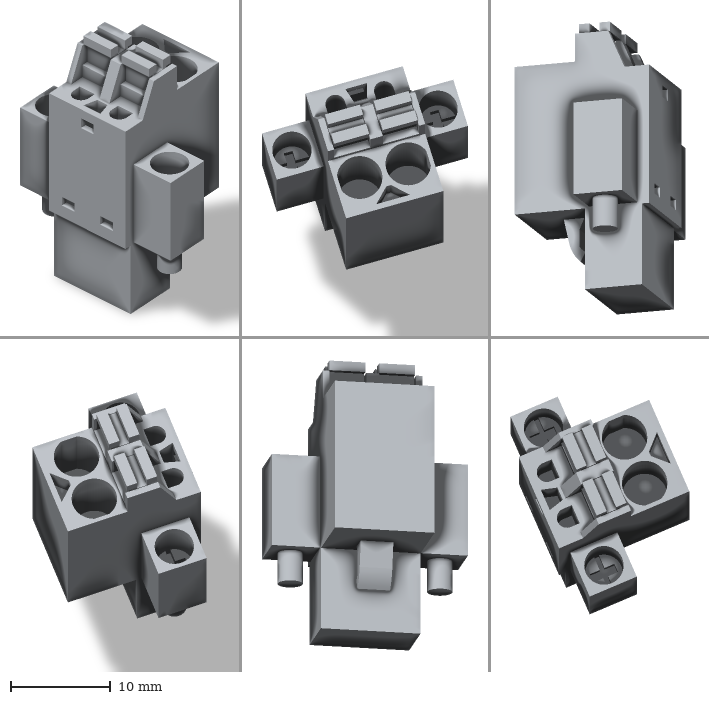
import cadquery as cq


TOTAL_HEIGHT = 27.73
POLE_PITCH = 5.07
POLE_CENTERS = (-POLE_PITCH / 2, POLE_PITCH / 2)

BLOCK_WIDTH = 10.15
BLOCK_DEPTH = 14.2
BLOCK_BOTTOM = 8.37
FRONT_TOP = 22.7
REAR_TOP = 23.68

PLUG_FRONT = 0.78
PLUG_BACK = 6.8

TOWER_TOP = 26.6
TOWER_BACK = 7.85
TOWER_FRONT_TOP = 4.33
TOWER_FRONT_FOOT = 2.6
BAY_WIDTH = 3.77
BAY_FLOOR = 24.18

OVERALL_WIDTH = 19.97
FLANGE_FRONT = 1.22
FLANGE_DEPTH = 5.13
FLANGE_BOTTOM = 8.55
FLANGE_TOP = 18.05
SCREW_X = 7.63
SCREW_Y = FLANGE_FRONT + FLANGE_DEPTH / 2
SCREW_BORE_DIAMETER = 3.95
SCREW_BORE_DEPTH = 6.65

HEAD_DIAMETER = 3.77
HEAD_HEIGHT = 2.5
SHANK_DIAMETER = 2.52
SHANK_BOTTOM = 5.35
DRIVE_DEPTH = 0.83
SLOT_WIDTH = 0.53
CROSS_WIDTH = 0.92
CROSS_LENGTH = 2.65

BUTTON_WIDTH = 3.65
BUTTON_MID_Y = 6.02
BUTTON_BODY_DEPTH = 1.95
BUTTON_HEAD_DEPTH = 3.25
BUTTON_GROOVE_DEPTH = 1.03
BUTTON_HEAD_BOTTOM = 26.73

WIRE_RADIUS = 2.27
WIRE_Y = 10.43
WIRE_FLAT_X = 4.65
WIRE_DEPTH = 6.93

MARKER_BACK = 13.62
MARKER_FRONT = 12.1
MARKER_BACK_WIDTH = 3.5
MARKER_FRONT_WIDTH = 0.5
MARKER_DEPTH = 2.22

TEST_WIDTH = 2.0
TEST_BACK = 2.9
TEST_ARC_Y = 1.95
TEST_DEPTH = 5.55

KEYSTONE_FRONT = 0.7
KEYSTONE_BACK = 2.3
KEYSTONE_FRONT_WIDTH = 2.25
KEYSTONE_BACK_WIDTH = 1.35
KEYSTONE_DEPTH = 4.45
WINDOW_WIDTH = 1.7
UPPER_WINDOW_BOTTOM = 20.45
UPPER_WINDOW_TOP = 21.63

LOWER_WINDOW_BOTTOM = 9.8
LOWER_WINDOW_TOP = 10.85
LOWER_WINDOW_DEPTH = 0.7

HOOK_WIDTH = 3.33
HOOK_REAR_Y = 10.15
HOOK_FRONT_ROOT_Y = 8.0
HOOK_REAR_BEND = (9.57, 5.8)
HOOK_REAR_MID = (9.2, 4.88)
HOOK_TIP_REAR = (8.37, 3.85)
HOOK_TIP_FRONT = (7.85, 4.85)
HOOK_FRONT_MID = (8.18, 5.07)
HOOK_FRONT_BEND = (8.49, 5.44)
HOOK_FRONT_TOP = (8.49, 7.2)


def box(x_range, y_range, z_range):
    """A box between the given lower and upper limits along each axis."""
    (x0, x1), (y0, y1), (z0, z1) = x_range, y_range, z_range
    return cq.Workplane("XY").box(x1 - x0, y1 - y0, z1 - z0, centered=False).translate((x0, y0, z0))


def centered_range(center, size):
    return (center - size / 2, center + size / 2)


def side_profile(center_x, width):
    """A YZ sketch plane whose extrusion by width is centered on center_x."""
    return cq.Workplane("YZ", origin=(center_x - width / 2, 0, 0))


def trapezoid_pocket(front, back, front_width, back_width, top, bottom):
    """A cutter with a trapezoid outline, centered on X = 0."""
    return (
        cq.Workplane("XY", origin=(0, 0, bottom))
        .moveTo(-front_width / 2, front)
        .lineTo(front_width / 2, front)
        .lineTo(back_width / 2, back)
        .lineTo(-back_width / 2, back)
        .close()
        .extrude(top - bottom)
    )


def make_block():
    """The block with its tower, as one outline across the full width."""
    outline = [
        (0, BLOCK_BOTTOM),
        (0, FRONT_TOP),
        (TOWER_FRONT_FOOT, FRONT_TOP),
        (TOWER_FRONT_TOP, TOWER_TOP),
        (TOWER_BACK, TOWER_TOP),
        (TOWER_BACK, REAR_TOP),
        (BLOCK_DEPTH, REAR_TOP),
        (BLOCK_DEPTH, BLOCK_BOTTOM),
    ]
    block = side_profile(0, BLOCK_WIDTH).polyline(outline).close().extrude(BLOCK_WIDTH)
    plug = box(centered_range(0, BLOCK_WIDTH), (PLUG_FRONT, PLUG_BACK), (0, BLOCK_BOTTOM))
    return block.union(plug)


def make_bay(center_x):
    """Cutter for one button bay, open to the top, front and back, with a step in front of the seat."""
    x_range = centered_range(center_x, BAY_WIDTH)
    seat = box(x_range, (TOWER_FRONT_TOP, TOWER_BACK), (BAY_FLOOR, TOWER_TOP))
    approach = box(x_range, (TOWER_FRONT_FOOT, TOWER_FRONT_TOP), (FRONT_TOP, TOWER_TOP))
    return seat.union(approach)


def make_wire_entry(side):
    """Cutter for one round wire entry with a flat on its outer side."""
    bottom = REAR_TOP - WIRE_DEPTH
    hole = (
        cq.Workplane("XY", origin=(side * POLE_PITCH / 2, WIRE_Y, bottom))
        .circle(WIRE_RADIUS)
        .extrude(WIRE_DEPTH)
    )
    inside_flats = box(
        centered_range(0, 2 * WIRE_FLAT_X),
        centered_range(WIRE_Y, 2 * WIRE_RADIUS),
        (bottom, REAR_TOP),
    )
    return hole.intersect(inside_flats)


def make_test_opening(center_x):
    """Cutter for one opening with a straight back and a half-round front."""
    half = TEST_WIDTH / 2
    return (
        cq.Workplane("XY", origin=(center_x, 0, FRONT_TOP - TEST_DEPTH))
        .moveTo(-half, TEST_BACK)
        .lineTo(-half, TEST_ARC_Y)
        .threePointArc((0, TEST_ARC_Y - half), (half, TEST_ARC_Y))
        .lineTo(half, TEST_BACK)
        .close()
        .extrude(TEST_DEPTH)
    )


def make_hook():
    """The latch hook, bent forward at its tip."""
    return (
        side_profile(0, HOOK_WIDTH)
        .moveTo(HOOK_REAR_Y, BLOCK_BOTTOM)
        .lineTo(*HOOK_REAR_BEND)
        .threePointArc(HOOK_REAR_MID, HOOK_TIP_REAR)
        .lineTo(*HOOK_TIP_FRONT)
        .threePointArc(HOOK_FRONT_MID, HOOK_FRONT_BEND)
        .lineTo(*HOOK_FRONT_TOP)
        .lineTo(HOOK_FRONT_ROOT_Y, BLOCK_BOTTOM)
        .close()
        .extrude(HOOK_WIDTH)
    )


def make_flange(side):
    """One flange block, with a counterbored hole for its screw."""
    inner, outer = side * BLOCK_WIDTH / 2, side * OVERALL_WIDTH / 2
    flange = box(
        (min(inner, outer), max(inner, outer)),
        (FLANGE_FRONT, FLANGE_FRONT + FLANGE_DEPTH),
        (FLANGE_BOTTOM, FLANGE_TOP),
    )
    top = cq.Workplane("XY", origin=(side * SCREW_X, SCREW_Y, FLANGE_TOP))
    bore = top.circle(SCREW_BORE_DIAMETER / 2).extrude(-SCREW_BORE_DEPTH)
    shank_hole = top.circle(SHANK_DIAMETER / 2).extrude(FLANGE_BOTTOM - FLANGE_TOP)
    return flange.cut(bore).cut(shank_hole)


def make_housing():
    housing = make_block().union(make_hook())
    for side in (-1, 1):
        housing = housing.union(make_flange(side)).cut(make_wire_entry(side))
    for center_x in POLE_CENTERS:
        lower_window = box(
            centered_range(center_x, WINDOW_WIDTH),
            (0, LOWER_WINDOW_DEPTH),
            (LOWER_WINDOW_BOTTOM, LOWER_WINDOW_TOP),
        )
        housing = housing.cut(make_bay(center_x)).cut(make_test_opening(center_x)).cut(lower_window)

    marker = trapezoid_pocket(
        MARKER_FRONT, MARKER_BACK, MARKER_FRONT_WIDTH, MARKER_BACK_WIDTH,
        REAR_TOP, REAR_TOP - MARKER_DEPTH,
    )
    keystone = trapezoid_pocket(
        KEYSTONE_FRONT, KEYSTONE_BACK, KEYSTONE_FRONT_WIDTH, KEYSTONE_BACK_WIDTH,
        FRONT_TOP, FRONT_TOP - KEYSTONE_DEPTH,
    )
    upper_window = box(
        centered_range(0, WINDOW_WIDTH),
        (0, KEYSTONE_FRONT),
        (UPPER_WINDOW_BOTTOM, UPPER_WINDOW_TOP),
    )
    return housing.cut(marker).cut(keystone).cut(upper_window)


def make_screw(center_x):
    """A fixing screw whose head sits on the floor of the flange bore."""
    seat = FLANGE_TOP - SCREW_BORE_DEPTH
    head_top = seat + HEAD_HEIGHT
    axis = cq.Workplane("XY", origin=(center_x, SCREW_Y, SHANK_BOTTOM))
    shank = axis.circle(SHANK_DIAMETER / 2).extrude(seat - SHANK_BOTTOM)
    head = axis.workplane(offset=seat - SHANK_BOTTOM).circle(HEAD_DIAMETER / 2).extrude(HEAD_HEIGHT)
    drive = axis.workplane(offset=head_top - SHANK_BOTTOM)
    slot = drive.rect(HEAD_DIAMETER, SLOT_WIDTH).extrude(-DRIVE_DEPTH)
    cross = drive.rect(CROSS_WIDTH, CROSS_LENGTH).extrude(-DRIVE_DEPTH)
    return shank.union(head).cut(slot).cut(cross)


def make_button(center_x):
    """A release button: a body with two lips on top and a groove between them."""
    x_range = centered_range(center_x, BUTTON_WIDTH)
    body = box(x_range, centered_range(BUTTON_MID_Y, BUTTON_BODY_DEPTH), (BAY_FLOOR, BUTTON_HEAD_BOTTOM))
    head = box(x_range, centered_range(BUTTON_MID_Y, BUTTON_HEAD_DEPTH), (BUTTON_HEAD_BOTTOM, TOTAL_HEIGHT))
    groove = box(x_range, centered_range(BUTTON_MID_Y, BUTTON_GROOVE_DEPTH), (TOWER_TOP, TOTAL_HEIGHT))
    return body.union(head).cut(groove)


housing = make_housing()
screws = [make_screw(side * SCREW_X) for side in (-1, 1)]
buttons = [make_button(center_x) for center_x in POLE_CENTERS]

result = cq.Compound.makeCompound(
    [housing.val()] + [screw.val() for screw in screws] + [button.val() for button in buttons]
)